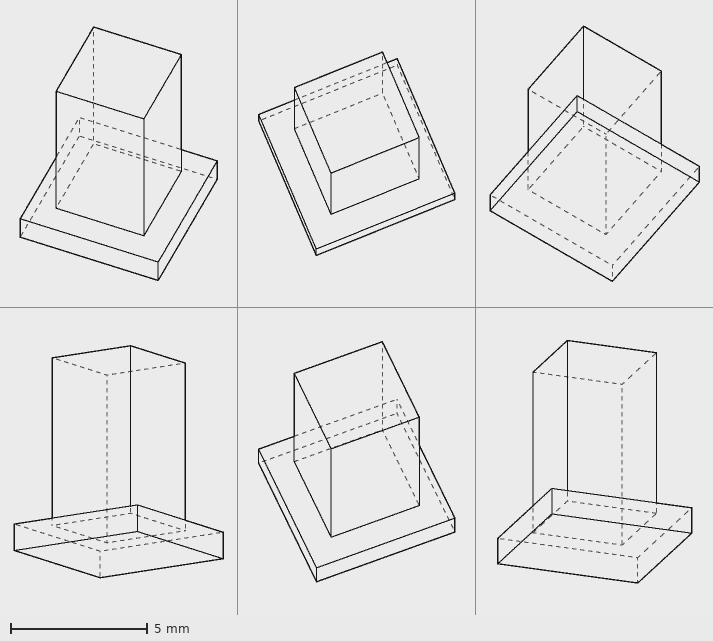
import cadquery as cq

base_side = 5.5
base_thickness = 1.0
post_side = 3.5
total_height = 7.3

post_height = total_height - base_thickness


def square_block(side, height, bottom_z):
    """Square block centred on the Z axis, standing on the height bottom_z."""
    return cq.Workplane("XY").workplane(offset=bottom_z).rect(side, side).extrude(height)


base = square_block(base_side, base_thickness, 0)

post = square_block(post_side, post_height, base_thickness)

result = base.union(post)